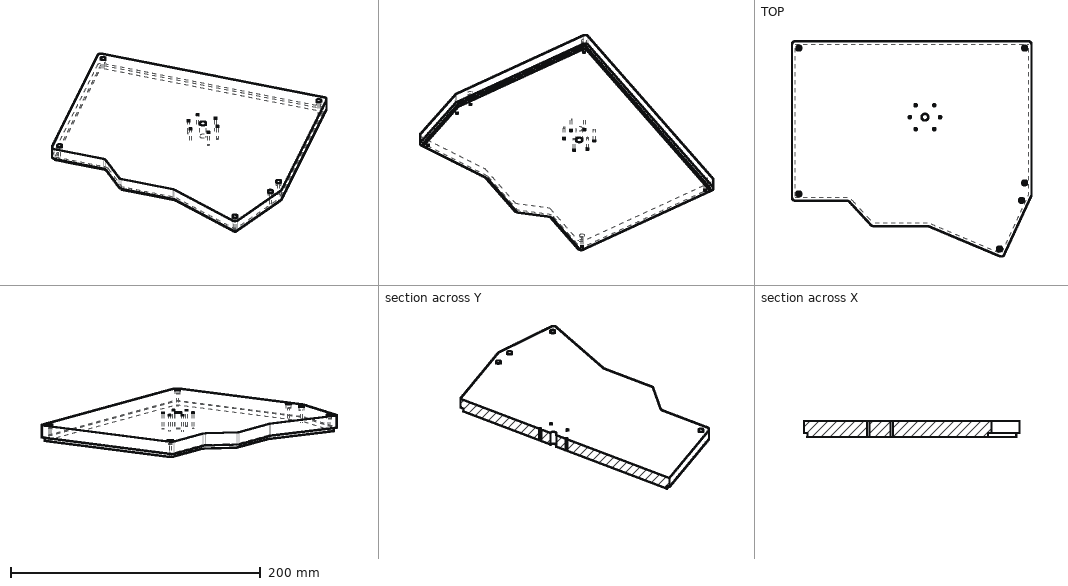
import cadquery as cq
import math

WIDTH = 192.2
DEPTH = 172.8
HEIGHT = 13.0

BODY_THICKNESS = 10.0
BASE_THICKNESS = HEIGHT - BODY_THICKNESS
BASE_INSET = 2.5
CORNER_RADIUS = 2.7

LEFT_EDGE_BOTTOM = 44.8
STEP_BOTTOM = 24.5
DIAGONAL_TOP_X = 45.4
DIAGONAL_BOTTOM_X = 64.2
THUMB_EDGE_START_X = 109.4
RIGHT_EDGE_BOTTOM = 49.2
THUMB_TIP_X = 169.2
THUMB_TIP_Y = -0.8

SCREW_INSET = 5.5
SCREW_DIAMETER = 1.61
SCREW_HEAD_DIAMETER = 4.0
SCREW_HEAD_DEPTH = 3.0
RIGHT_SCREW_Y = 59.2
SLOPE_SCREW = (184.2, 45.2)
THUMB_SCREW = (166.5, 6.3)
SCREW_POINTS = [
    (SCREW_INSET, DEPTH - SCREW_INSET),
    (WIDTH - SCREW_INSET, DEPTH - SCREW_INSET),
    (SCREW_INSET, LEFT_EDGE_BOTTOM + SCREW_INSET),
    (WIDTH - SCREW_INSET, RIGHT_SCREW_Y),
    SLOPE_SCREW,
    THUMB_SCREW,
]

HUB_X = 106.7
HUB_Y = 111.9
HUB_DIAMETER = 5.2
PIN_DIAMETER = 1.61
PIN_CIRCLE_RADIUS = 12.1
PIN_ANGLE = 52.0


def make_body():
    """Full outline with every corner rounded, standing on top of the base."""
    corners = [
        (0, DEPTH),
        (0, LEFT_EDGE_BOTTOM),
        (DIAGONAL_TOP_X, LEFT_EDGE_BOTTOM),
        (DIAGONAL_BOTTOM_X, STEP_BOTTOM),
        (THUMB_EDGE_START_X, STEP_BOTTOM),
        (THUMB_TIP_X, THUMB_TIP_Y),
        (WIDTH, RIGHT_EDGE_BOTTOM),
        (WIDTH, DEPTH),
    ]
    underside = cq.Workplane("XY", origin=(0, 0, BASE_THICKNESS))
    sharp = underside.polyline(corners).close().extrude(BODY_THICKNESS)
    return sharp.edges("|Z").fillet(CORNER_RADIUS)


def make_base(body):
    """The underside outline of the body, moved inwards and extruded down to Z = 0."""
    outline = body.faces("<Z").wires().toPending().offset2D(-BASE_INSET)
    return outline.extrude(-BASE_THICKNESS, combine=False)


def make_pin_points():
    """Two pins level with the hub and four slanted ones, mirrored left to right."""
    angles = [0, PIN_ANGLE, 180 - PIN_ANGLE, 180, 180 + PIN_ANGLE, -PIN_ANGLE]
    points = []
    for angle in angles:
        turn = math.radians(angle)
        x = HUB_X + PIN_CIRCLE_RADIUS * math.cos(turn)
        y = HUB_Y + PIN_CIRCLE_RADIUS * math.sin(turn)
        points.append((x, y))
    return points


def make_cutters(points, diameter, depth):
    """Vertical cylinders that reach down from the top face."""
    top = cq.Workplane("XY", origin=(0, 0, HEIGHT))
    return top.pushPoints(points).circle(diameter / 2).extrude(-depth)


body = make_body()

result = (
    body.union(make_base(body))
    .cut(make_cutters(SCREW_POINTS, SCREW_DIAMETER, HEIGHT))
    .cut(make_cutters(SCREW_POINTS, SCREW_HEAD_DIAMETER, SCREW_HEAD_DEPTH))
    .cut(make_cutters([(HUB_X, HUB_Y)], HUB_DIAMETER, HEIGHT))
    .cut(make_cutters(make_pin_points(), PIN_DIAMETER, HEIGHT))
)